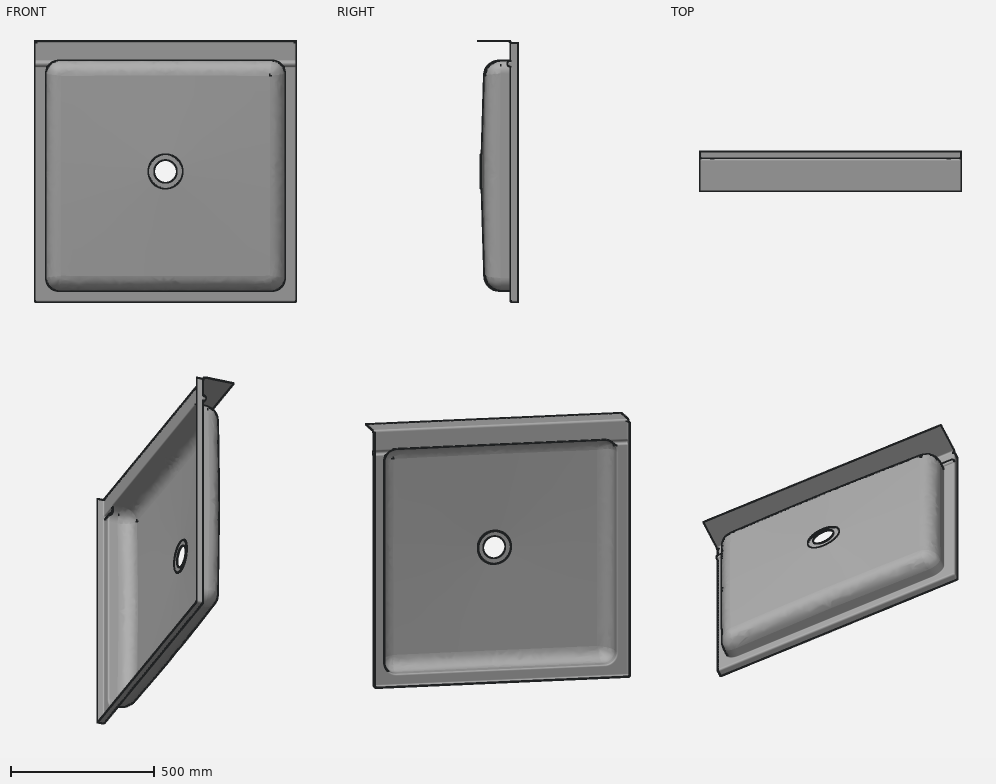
import cadquery as cq

size = 914.0
overall_depth = 140.0
sheet = 3.0

plate_depth = 27.0
edge_radius = 7.0

apron_bend_radius = 8.0
apron_bend_z = size - apron_bend_radius

bead_radius = 10.0
bead_foot_radius = 3.0
bead_z = 833.0

basin_margin = 39.0
basin_top_z = 845.0
basin_corner_radius = 46.0
basin_floor_radius = 55.0
basin_foot_radius = 3.0
floor_apex_depth = 130.0
floor_rise = 14.0

drain_x = size / 2
drain_z = size / 2
seat_radius = 60.0
seat_depth = 132.0
seat_edge_radius = 3.0
drain_hole_radius = 39.0

select_gap = 1.0


def flange_block(inset):
    """Solid filling the plate, bead and skirts, shrunk by inset on its outer faces."""
    front = inset - plate_depth
    ridge = bead_radius - inset
    profile = (
        cq.Workplane("YZ", origin=(inset, 0, 0))
        .moveTo(0, inset)
        .lineTo(front, inset)
        .lineTo(front, bead_z - ridge)
        .threePointArc((front - ridge, bead_z), (front, bead_z + ridge))
        .lineTo(front, apron_bend_z)
        .lineTo(0, apron_bend_z)
        .close()
    )
    block = profile.extrude(size - 2 * inset)

    bead_feet = cq.selectors.BoxSelector(
        (0, front - select_gap, bead_z - ridge - select_gap),
        (size, front + select_gap, bead_z + ridge + select_gap),
    )
    block = block.edges("|X").edges(bead_feet).fillet(bead_foot_radius + inset)

    outer_radius = edge_radius - inset
    block = block.edges("|Y and <Z").fillet(outer_radius)
    return block.faces("<Z").edges("<Y").fillet(outer_radius)


def floor_cone(inset):
    """Solid of revolution about the drain axis, ending in the sloping floor."""
    apex = inset - floor_apex_depth
    rim = apex + floor_rise * size / (size / 2)
    return (
        cq.Workplane("ZY", origin=(drain_x, 0, drain_z))
        .polyline([(0, 0), (0, apex), (size, rim), (size, 0)])
        .close()
        .revolve(360, (0, 0), (0, 1))
    )


def drain_seat(inset):
    """Round boss standing slightly proud of the floor."""
    return (
        cq.Workplane("XZ", origin=(drain_x, 0, drain_z))
        .circle(seat_radius - inset)
        .extrude(seat_depth - inset)
        .faces("<Y")
        .edges()
        .fillet(seat_edge_radius)
    )


def basin_block(inset):
    """Solid filling the basin and drain seat, shrunk by inset on its outer faces."""
    width = size - 2 * (basin_margin + inset)
    height = basin_top_z - basin_margin - 2 * inset
    front = inset - plate_depth
    foot_radius = basin_foot_radius + inset
    centred = cq.Workplane("XZ", origin=(size / 2, 0, (basin_margin + basin_top_z) / 2))

    basin = (
        centred.rect(width, height)
        .extrude(overall_depth)
        .intersect(floor_cone(inset))
        .edges("|Y")
        .fillet(basin_corner_radius - inset)
        .faces("<Y")
        .edges()
        .fillet(basin_floor_radius - inset)
    )

    border = 2 * foot_radius
    slab = centred.rect(width + 2 * border, height + 2 * border).extrude(-front)
    wall_foot = cq.selectors.BoxSelector(
        (basin_margin, front - select_gap, basin_margin),
        (size - basin_margin, front + select_gap, basin_top_z),
    )
    basin = basin.union(slab).edges(wall_foot).fillet(foot_radius)
    return basin.union(drain_seat(inset))


def tray_block(inset):
    """Whole tray without its apron, as a filled solid."""
    return flange_block(inset).union(basin_block(inset))


def apron():
    """Sheet bent forward from the top of the plate to the full depth."""
    back = sheet - plate_depth
    bend_y = back - apron_bend_radius
    inner_radius = apron_bend_radius - sheet
    diagonal = 0.5 ** 0.5
    outer_middle = (bend_y + apron_bend_radius * diagonal, apron_bend_z + apron_bend_radius * diagonal)
    inner_middle = (bend_y + inner_radius * diagonal, apron_bend_z + inner_radius * diagonal)
    return (
        cq.Workplane("YZ")
        .moveTo(back, apron_bend_z)
        .threePointArc(outer_middle, (bend_y, size))
        .lineTo(-overall_depth, size)
        .lineTo(-overall_depth, size - sheet)
        .lineTo(bend_y, size - sheet)
        .threePointArc(inner_middle, (-plate_depth, apron_bend_z))
        .close()
        .extrude(size)
    )


drain_hole = (
    cq.Workplane("XZ", origin=(drain_x, 0, drain_z))
    .circle(drain_hole_radius)
    .extrude(overall_depth)
)

tray = tray_block(0).cut(tray_block(sheet))
result = tray.union(apron()).cut(drain_hole)